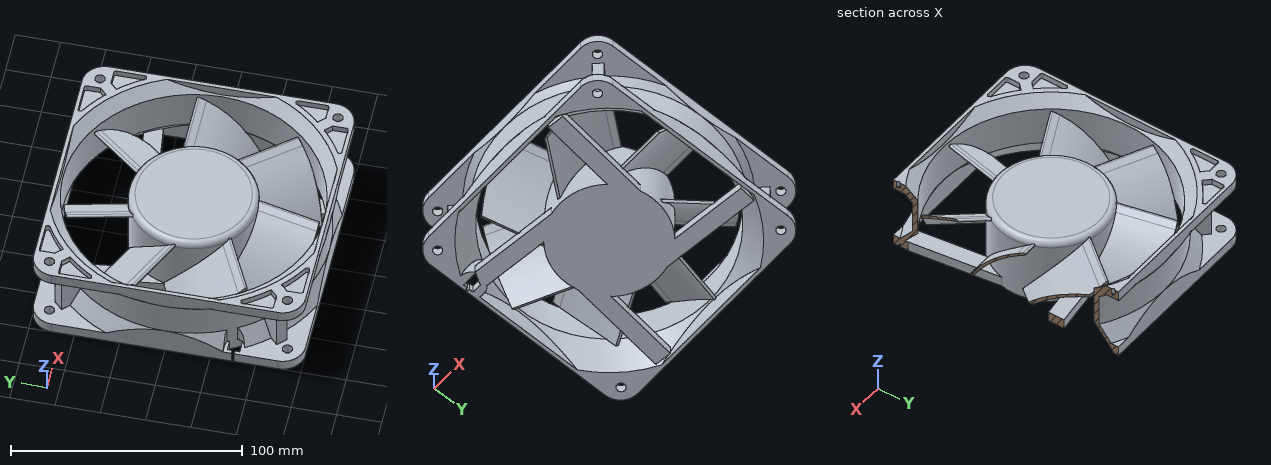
import cadquery as cq
import math

SIDE = 120.0
HEIGHT = 38.0
CORNER_RADIUS = 10.0
HALF = SIDE / 2
FLANGE = 5.3
FLANGE_WALL = 1.8
INNER_HALF = HALF - FLANGE_WALL
TOP_FLANGE_Z = HEIGHT - FLANGE

DUCT_RADIUS = HALF
BORE_RADIUS = 57.6
DUCT_WALL = DUCT_RADIUS - BORE_RADIUS
UPPER_CONE_Z = 29.5
UPPER_CONE_SLOPE = 1.0
UPPER_FLARE_Z = 33.0
UPPER_FLARE_RADIUS = 63.0
LOWER_CONE_Z = 13.1
LOWER_CONE_SLOPE = 0.69
LOWER_FLARE_Z = LOWER_CONE_Z

CORNERS = 4
HOLE_PITCH = 105.0
HOLE_DIAMETER = 4.3
WEB_WIDTH = 5.2
WEB_END_RADIUS = 69.7

POCKET_DEPTH = 3.0
POCKET_END = 47.4
POCKET_HALF_WEB = 2.7
POCKET_ARC_RADIUS = 65.5
POCKET_CORNER_RADIUS = 1.0

HUB_RADIUS = 28.3
HUB_TOP = 35.0
HUB_FILLET = 3.0

BLADE_COUNT = 7
BLADE_TIP_RADIUS = 56.0
BLADE_ROOT_RADIUS = 20.0
BLADE_THICKNESS = 1.4
BLADE_ARC_RADIUS = 79.0
BLADE_SEAM_Y = 6.2
BLADE_SEAM_Z = 31.1
BLADE_SEAM_ANGLE = 33.0
BLADE_NOSE_LENGTH = 3.6
BLADE_TRAILING_Y = -18.7

STRUT_COUNT = 4
STRUT_HEIGHT = 5.3
STRUT_WIDTH = 8.4
STRUT_OFFSET = 22.4
STRUT_TILT = 7.2

CABLE_X = -56.0
CABLE_Y = -29.9
CABLE_NOTCH_RADIUS = 4.3
CABLE_PASSAGE_WIDTH = 5.4
CABLE_SLIT = 1.1


def revolved(points):
    """Solid of revolution about Z from (radius, z) points."""
    return cq.Workplane("XZ").polyline(points).close().revolve(360, (0, 0, 0), (0, 1, 0))


def around_axis(shape, count):
    """Union of equally spaced copies of a shape turned about Z."""
    ring = shape
    for i in range(1, count):
        ring = ring.union(shape.rotate((0, 0, 0), (0, 0, 1), 360 / count * i))
    return ring


def square_block(half_side, z_low, z_high):
    width = 2 * half_side
    return cq.Workplane("XY").workplane(offset=z_low).rect(width, width).extrude(z_high - z_low)


def rounded_envelope():
    return square_block(HALF, 0, HEIGHT).edges("|Z").fillet(CORNER_RADIUS)


def duct_outside():
    """Outer duct surface: a cylinder that widens to a cone at each flange."""
    top_radius = DUCT_RADIUS + UPPER_CONE_SLOPE * (HEIGHT - UPPER_CONE_Z)
    bottom_radius = DUCT_RADIUS + LOWER_CONE_SLOPE * LOWER_CONE_Z
    return revolved([
        (0, 0),
        (bottom_radius, 0),
        (DUCT_RADIUS, LOWER_CONE_Z),
        (DUCT_RADIUS, UPPER_CONE_Z),
        (top_radius, HEIGHT),
        (0, HEIGHT),
    ])


def duct_inside():
    """Air passage with flared ends, the flares squared off at the flange rims."""
    bottom_radius = BORE_RADIUS + LOWER_CONE_SLOPE * LOWER_FLARE_Z
    passage = revolved([
        (0, 0),
        (bottom_radius, 0),
        (BORE_RADIUS, LOWER_FLARE_Z),
        (BORE_RADIUS, UPPER_FLARE_Z),
        (UPPER_FLARE_RADIUS, HEIGHT),
        (0, HEIGHT),
    ])
    return passage.intersect(square_block(INNER_HALF, 0, HEIGHT))


def corner_webs():
    length = 2 * WEB_END_RADIUS
    web = cq.Workplane("XY").rect(length, WEB_WIDTH).extrude(HEIGHT).rotate((0, 0, 0), (0, 0, 1), 45)
    return web.union(web.mirror("YZ"))


def corner_pocket():
    """One pocket in the +X +Y corner, on the +X side of the diagonal."""
    offset = POCKET_HALF_WEB * math.sqrt(2)
    tip_mid = math.sqrt(POCKET_ARC_RADIUS ** 2 - POCKET_HALF_WEB ** 2) / math.sqrt(2)
    tip = (tip_mid + offset / 2, tip_mid - offset / 2)
    tail = (INNER_HALF, math.sqrt(POCKET_ARC_RADIUS ** 2 - INNER_HALF ** 2))
    mid_angle = (math.atan2(tip[1], tip[0]) + math.atan2(tail[1], tail[0])) / 2
    arc_mid = (POCKET_ARC_RADIUS * math.cos(mid_angle), POCKET_ARC_RADIUS * math.sin(mid_angle))
    return (
        cq.Workplane("XY").workplane(offset=HEIGHT - POCKET_DEPTH)
        .moveTo(INNER_HALF, POCKET_END)
        .lineTo(POCKET_END + offset, POCKET_END)
        .lineTo(*tip)
        .threePointArc(arc_mid, tail)
        .close()
        .extrude(POCKET_DEPTH)
        .edges("|Z and >X").fillet(POCKET_CORNER_RADIUS)
    )


def cut_pockets(body):
    pocket = corner_pocket()
    twin = pocket.mirror("XZ").rotate((0, 0, 0), (0, 0, 1), 90)
    return body.cut(around_axis(pocket, CORNERS)).cut(around_axis(twin, CORNERS))


def round_ended_slot(half_width, x_open, z_low, z_high):
    """Slot along X at the cable outlet, round at its inner end and square at x_open."""
    straight = CABLE_X - x_open
    return (
        cq.Workplane("XY").workplane(offset=z_low)
        .moveTo(x_open, CABLE_Y - half_width)
        .line(straight, 0)
        .threePointArc((CABLE_X + half_width, CABLE_Y), (CABLE_X, CABLE_Y + half_width))
        .line(-straight, 0)
        .close()
        .extrude(z_high - z_low)
    )


def cable_channel(width, x_outer):
    """Straight channel through the bottom flange, from x_outer into the duct."""
    return (
        cq.Workplane("XY").center(x_outer / 2, CABLE_Y)
        .rect(-x_outer, width).extrude(FLANGE)
    )


def cable_boss():
    """Fills the outlet flare behind the cable notch, flush with the bore."""
    block = round_ended_slot(CABLE_NOTCH_RADIUS + DUCT_WALL, -INNER_HALF, 0, LOWER_CONE_Z)
    bore = cq.Workplane("XY").circle(BORE_RADIUS).extrude(LOWER_CONE_Z)
    return block.cut(bore).intersect(duct_outside())


def cut_cable_outlet(body):
    notch = round_ended_slot(CABLE_NOTCH_RADIUS, -HALF, FLANGE, LOWER_CONE_Z)
    passage = cable_channel(CABLE_PASSAGE_WIDTH, -INNER_HALF)
    slit = cable_channel(CABLE_SLIT, -HALF)
    duct = cq.Workplane("XY").circle(DUCT_RADIUS).extrude(LOWER_CONE_Z)
    return body.cut(notch.union(passage).union(slit).cut(duct))


def frame():
    gap = square_block(HALF, FLANGE, TOP_FLANGE_Z)
    gap = gap.cut(duct_outside()).cut(corner_webs())
    holes = (
        cq.Workplane("XY").rect(HOLE_PITCH, HOLE_PITCH, forConstruction=True).vertices()
        .circle(HOLE_DIAMETER / 2).extrude(HEIGHT)
    )
    body = rounded_envelope().cut(gap).cut(duct_inside()).cut(holes)
    return cut_pockets(body)


def struts():
    strut = (
        cq.Workplane("XY").center(-STRUT_OFFSET, HALF / 2)
        .rect(STRUT_WIDTH, HALF).extrude(STRUT_HEIGHT)
        .rotate((0, 0, 0), (0, 0, 1), STRUT_TILT)
        .intersect(duct_outside())
        .intersect(square_block(HALF, 0, STRUT_HEIGHT))
    )
    return around_axis(strut, STRUT_COUNT)


def hub():
    return cq.Workplane("XY").circle(HUB_RADIUS).extrude(HUB_TOP).faces(">Z").edges().fillet(HUB_FILLET)


def blade():
    """Blade pointing along +X: an arc, a straight nose section and a round nose, cut at the tip circle."""
    pitch = math.radians(BLADE_SEAM_ANGLE)
    along = (math.cos(pitch), math.sin(pitch))
    center_y = BLADE_SEAM_Y + BLADE_ARC_RADIUS * along[1]
    center_z = BLADE_SEAM_Z - BLADE_ARC_RADIUS * along[0]
    start = pitch + math.pi / 2
    end = math.acos((BLADE_TRAILING_Y - center_y) / BLADE_ARC_RADIUS)
    middle = (start + end) / 2
    upper = BLADE_ARC_RADIUS
    lower = BLADE_ARC_RADIUS - BLADE_THICKNESS
    nose_radius = BLADE_THICKNESS / 2

    def on_arc(radius, angle):
        return (center_y + radius * math.cos(angle), center_z + radius * math.sin(angle))

    def ahead_of_seam(radius, distance):
        seam = on_arc(radius, start)
        return (seam[0] + along[0] * distance, seam[1] + along[1] * distance)

    plate = (
        cq.Workplane("YZ").workplane(offset=BLADE_ROOT_RADIUS)
        .moveTo(*on_arc(upper, end))
        .threePointArc(on_arc(upper, middle), on_arc(upper, start))
        .lineTo(*ahead_of_seam(upper, BLADE_NOSE_LENGTH))
        .threePointArc(
            ahead_of_seam(upper - nose_radius, BLADE_NOSE_LENGTH + nose_radius),
            ahead_of_seam(lower, BLADE_NOSE_LENGTH),
        )
        .lineTo(*on_arc(lower, start))
        .threePointArc(on_arc(lower, middle), on_arc(lower, end))
        .close()
        .extrude(BLADE_TIP_RADIUS)
    )
    return plate.intersect(cq.Workplane("XY").circle(BLADE_TIP_RADIUS).extrude(HEIGHT))


def rotor():
    return hub().union(around_axis(blade(), BLADE_COUNT))


housing = cut_cable_outlet(frame().union(struts()).union(cable_boss()))
result = housing.union(rotor())